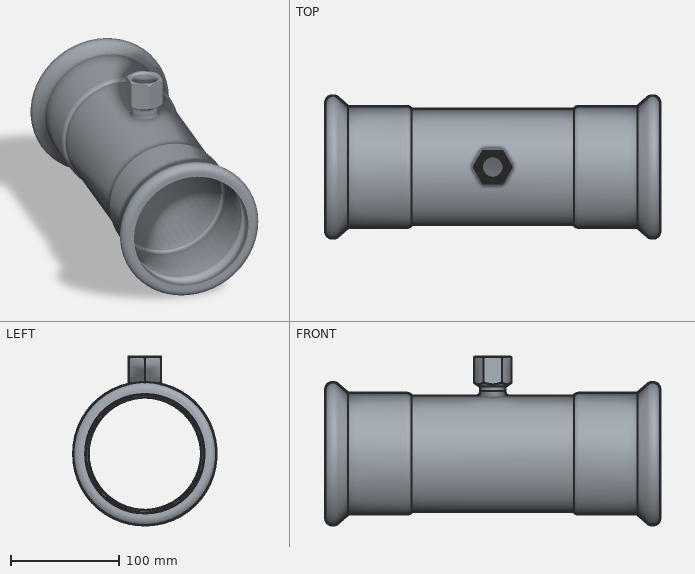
import cadquery as cq
import math

length = 310.0
wall = 2.0
bead_diameter = 132.7
bead_arc_radius = 7.0
cone_angle = math.radians(41.0)
inner_bend_radius = 2.5
socket_diameter = 112.8
mouth_diameter = 110.5
socket_depth = 75.0
shoulder_arc_radius = 6.2
tube_diameter = 108.0

collar_diameter = 24.0
collar_bore_diameter = 20.0
collar_top_z = 58.0
collar_root_fillet = 2.5

nipple_top_z = 90.0
hex_across_flats = 30.0
hex_across_corners = hex_across_flats / math.cos(math.pi / 6)
hex_chamfer_angle = math.radians(30.0)
flare_angle = math.radians(35.0)
top_chamfer_diameter = 31.3
neck_top_z = 62.0
nipple_bore_diameter = 20.5
thread_diameter = 24.0
thread_bottom_z = 65.0
countersink_diameter = 27.3

half_length = length / 2
bead_centre_radius = bead_diameter / 2 - bead_arc_radius


def arc_point(centre_x, centre_radius, arc_radius, angle):
    """Point on an arc of the half profile; the angle is measured from the radial direction toward +X."""
    return (
        centre_x + arc_radius * math.sin(angle),
        centre_radius + arc_radius * math.cos(angle),
    )


def half_skin(inset):
    """Left half of the pipe as a filled solid, with its outer skin moved inward by the inset."""
    bead_arc = bead_arc_radius - inset
    shoulder_arc = shoulder_arc_radius - inset
    socket_radius = socket_diameter / 2 - inset
    tube_radius = tube_diameter / 2 - inset
    bead_centre_x = -half_length + bead_arc_radius
    shoulder_x = -half_length + socket_depth
    shoulder_centre_radius = socket_diameter / 2 - shoulder_arc_radius
    shoulder_angle = math.acos((tube_radius - shoulder_centre_radius) / shoulder_arc)

    bead_tip = (bead_centre_x - bead_arc, bead_centre_radius)
    bead_crest = (bead_centre_x, bead_centre_radius + bead_arc)
    cone_start = arc_point(bead_centre_x, bead_centre_radius, bead_arc, cone_angle)
    cone_end_x = cone_start[0] + (cone_start[1] - socket_radius) / math.tan(cone_angle)
    shoulder_middle = arc_point(shoulder_x, shoulder_centre_radius, shoulder_arc, shoulder_angle / 2)
    shoulder_end = arc_point(shoulder_x, shoulder_centre_radius, shoulder_arc, shoulder_angle)

    return (
        cq.Workplane("XY")
        .moveTo(bead_tip[0], 0)
        .lineTo(*bead_tip)
        .threePointArc(bead_crest, cone_start)
        .lineTo(cone_end_x, socket_radius)
        .lineTo(shoulder_x, socket_radius)
        .threePointArc(shoulder_middle, shoulder_end)
        .lineTo(0, tube_radius)
        .lineTo(0, 0)
        .close()
        .revolve(360, (0, 0, 0), (1, 0, 0))
    )


def both_ends(left):
    return left.union(left.mirror("YZ"))


def upright_cylinder(diameter, bottom_z, top_z):
    return cq.Workplane("XY", origin=(0, 0, bottom_z)).circle(diameter / 2).extrude(top_z - bottom_z)


def make_cavity():
    """Hollow inside of the pipe, rounded where each bead cone runs into its socket, with its mouths."""
    cone_bottom_zone = cq.selectors.BoxSelector(
        (-half_length + 2 * bead_arc_radius, -wall, -wall),
        (-half_length + socket_depth / 2, wall, wall),
    )
    hollow = half_skin(wall).edges(cone_bottom_zone).fillet(inner_bend_radius)
    mouth = (
        cq.Workplane("YZ", origin=(-half_length, 0, 0))
        .circle(mouth_diameter / 2)
        .extrude(bead_arc_radius)
    )
    return both_ends(hollow.union(mouth))


def make_pipe():
    outside = both_ends(half_skin(0)).union(upright_cylinder(collar_diameter, 0, collar_top_z))
    root_zone = cq.selectors.BoxSelector(
        (-collar_diameter, -collar_diameter, 0),
        (collar_diameter, collar_diameter, collar_top_z - wall / 2),
        boundingbox=True,
    )
    outside = outside.edges(root_zone).fillet(collar_root_fillet)
    outlet = upright_cylinder(collar_bore_diameter, 0, collar_top_z)
    return outside.cut(make_cavity()).cut(outlet)


def nipple_envelope():
    """Turned shape of the nipple: neck, flare under the hexagon and chamfer on top of it."""
    neck_radius = collar_diameter / 2
    corner_radius = hex_across_corners / 2
    top_radius = top_chamfer_diameter / 2
    top_drop = (corner_radius - top_radius) * math.tan(hex_chamfer_angle)
    flare_rise = (corner_radius - neck_radius) * math.tan(flare_angle)
    return (
        cq.Workplane("XZ")
        .moveTo(0, collar_top_z)
        .lineTo(neck_radius, collar_top_z)
        .lineTo(neck_radius, neck_top_z)
        .lineTo(corner_radius, neck_top_z + flare_rise)
        .lineTo(corner_radius, nipple_top_z - top_drop)
        .lineTo(top_radius, nipple_top_z)
        .lineTo(0, nipple_top_z)
        .close()
        .revolve(360, (0, 0, 0), (0, 1, 0))
    )


def nipple_bore():
    """Turned hole through the nipple: plain bore, conical run-out, threaded length and countersink."""
    bore_radius = nipple_bore_diameter / 2
    thread_radius = thread_diameter / 2
    countersink_radius = countersink_diameter / 2
    runout_depth = thread_radius - bore_radius
    countersink_depth = countersink_radius - thread_radius
    return (
        cq.Workplane("XZ")
        .moveTo(0, collar_top_z)
        .lineTo(bore_radius, collar_top_z)
        .lineTo(bore_radius, thread_bottom_z - runout_depth)
        .lineTo(thread_radius, thread_bottom_z)
        .lineTo(thread_radius, nipple_top_z - countersink_depth)
        .lineTo(countersink_radius, nipple_top_z)
        .lineTo(0, nipple_top_z)
        .close()
        .revolve(360, (0, 0, 0), (0, 1, 0))
    )


def make_nipple():
    hexagon = (
        cq.Workplane("XY", origin=(0, 0, collar_top_z))
        .polygon(6, hex_across_corners)
        .extrude(nipple_top_z - collar_top_z)
    )
    return nipple_envelope().intersect(hexagon).cut(nipple_bore())


pipe = make_pipe()
nipple = make_nipple()

result = cq.Compound.makeCompound([pipe.solids().val(), nipple.solids().val()])